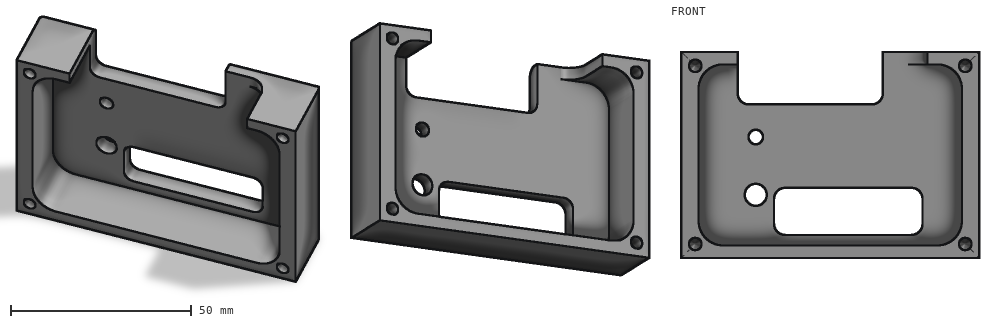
import cadquery as cq
import math

LENGTH = 82.55
DEPTH = 21.05
HEIGHT = 57.1
BACK_FILLET = 3.2

FLOOR = 5.0
SIDE_WALL = 4.8
END_WALL = 3.5
POCKET_RADIUS = 6.85
POCKET_DEPTH = DEPTH - FLOOR

NOTCH_LEFT = 15.7
NOTCH_RIGHT = 55.8
NOTCH_DEPTH = 14.5
CUTOUT_RADIUS = 3.0

WALL_OPENING_RIGHT = 68.2
WALL_OPENING_RADIUS = 5.0

WINDOW_LEFT = 25.75
WINDOW_RIGHT = 66.8
WINDOW_BOTTOM = 6.4
WINDOW_TOP = 19.4

FLOOR_HOLE_X = 20.6
SMALL_HOLE_Z = 33.5
SMALL_HOLE_DIAMETER = 4.0
LARGE_HOLE_Z = 17.5
LARGE_HOLE_DIAMETER = 6.0

SCREW_INSET = 3.9
SCREW_DIAMETER = 3.5
SCREW_DEPTH = 9.9
DRILL_ANGLE = 118.0


def box_between(left, right, bottom, top, front, back):
    """Box given by its limits along X, Z and Y."""
    size = (right - left, back - front, top - bottom)
    return cq.Workplane("XY").box(*size, centered=False).translate((left, front, bottom))


def floor_hole(z, diameter):
    """Cylinder along Y that passes through the floor."""
    start = cq.Vector(FLOOR_HOLE_X, 0, z)
    return cq.Workplane(cq.Solid.makeCylinder(diameter / 2, DEPTH, start, cq.Vector(0, 1, 0)))


def screw_hole(x, z):
    """Half profile of a drilled hole, revolved about its axis along Y."""
    radius = SCREW_DIAMETER / 2
    tip = SCREW_DEPTH + radius / math.tan(math.radians(DRILL_ANGLE / 2))
    profile = cq.Workplane("XY").polyline([(0, 0), (radius, 0), (radius, SCREW_DEPTH), (0, tip)])
    return profile.close().revolve(360, (0, 0, 0), (0, 1, 0)).translate((x, 0, z))


result = box_between(0, LENGTH, 0, HEIGHT, 0, DEPTH).faces(">Y").edges().fillet(BACK_FILLET)

pocket = box_between(SIDE_WALL, LENGTH - SIDE_WALL, END_WALL, HEIGHT - END_WALL, 0, POCKET_DEPTH)
result = result.cut(pocket.edges("|Y").fillet(POCKET_RADIUS))

wall_opening = box_between(
    NOTCH_LEFT, WALL_OPENING_RIGHT, HEIGHT - END_WALL, HEIGHT, 0, POCKET_DEPTH
)
result = result.cut(wall_opening.edges("|Z and >X and >Y").fillet(WALL_OPENING_RADIUS))

notch = box_between(NOTCH_LEFT, NOTCH_RIGHT, HEIGHT - NOTCH_DEPTH, HEIGHT, 0, DEPTH)
result = result.cut(notch.edges("|Y and <Z").fillet(CUTOUT_RADIUS))

window = box_between(WINDOW_LEFT, WINDOW_RIGHT, WINDOW_BOTTOM, WINDOW_TOP, 0, DEPTH)
window = window.edges("|Y").fillet(CUTOUT_RADIUS)
result = result.cut(window)

result = result.cut(floor_hole(SMALL_HOLE_Z, SMALL_HOLE_DIAMETER))
result = result.cut(floor_hole(LARGE_HOLE_Z, LARGE_HOLE_DIAMETER))

for screw_x in (SCREW_INSET, LENGTH - SCREW_INSET):
    for screw_z in (SCREW_INSET, HEIGHT - SCREW_INSET):
        result = result.cut(screw_hole(screw_x, screw_z))